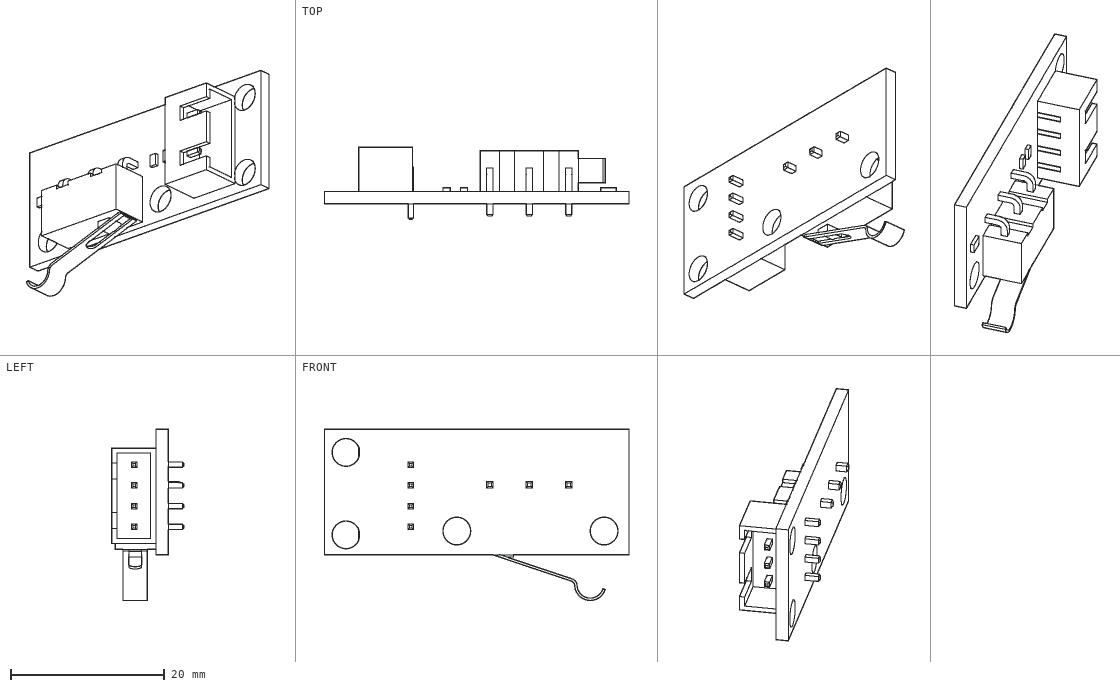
import cadquery as cq
import math


board_length = 39.7
board_height = 16.4
board_thickness = 1.65
mount_hole_diameter = 3.58
corner_hole_x = 2.8
corner_hole_z = (2.6, 13.35)
switch_hole_x = (17.25, 36.45)
switch_hole_z = 3.1

connector_x = 4.45
connector_length = 7.05
connector_height = 5.75
connector_width = 12.45
connector_center_z = 7.7
end_wall = 0.65
side_wall = 0.7
cavity_depth = 5.5
key_slot_depth = 4.5
key_slot_width = 2.03
key_slot_spacing = 6.45

pin_size = 0.72
pin_pitch = 2.7
pin_count = 4
pin_leg_x = 11.25
pin_axis_height = 2.83
pin_recess = 3.5
pin_protrusion = 2.0
pin_tip_chamfer = 0.2

switch_x = 20.3
switch_length = 12.8
switch_depth = 5.3
switch_bottom_z = 0.7
switch_height = 6.5
switch_center_x = switch_x + switch_length / 2
recess_depth = 0.5
recess_spans = ((2.5, 4.45), (8.25, 10.3))

terminal_size = 0.84
terminal_pitch = 5.14
terminal_axis_z = 9.15
terminal_axis_height = 2.63
terminal_bend_radius = 0.96
terminal_protrusion = 1.6

plunger_diameter = 1.9
plunger_right_x = 24.65
plunger_bottom_z = -0.3
plunger_width = 2.4

lever_thickness = 0.33
lever_width = 3.2
lever_center_height = 2.69
lever_start_x = 20.45
lever_start_z = 0.66
lever_angle = 18.5
bend_radius = 0.8
hook_radius = 1.88
hook_center_x = 34.65
hook_lowest_z = -5.96
hook_end_angle = -17
lever_slot_width = 1.67
lever_slot_start = 0.15
lever_slot_end = 7.4

chip_height = 0.48
chips = (
    (15.45, 0.95, 8.0, 1.6),
    (17.7, 0.95, 8.0, 1.6),
    (36.0, 2.05, 8.0, 1.25),
)


def box(x, y, z, length, depth, height):
    """Box with its lowest corner at (x, y, z)."""
    return cq.Workplane("XY").box(length, depth, height, centered=False).translate((x, y, z))


def make_board():
    """Flat board with four mounting holes."""
    board = box(0, 0, 0, board_length, board_thickness, board_height)
    holes = [(corner_hole_x, z) for z in corner_hole_z]
    holes += [(x, switch_hole_z) for x in switch_hole_x]
    drills = (
        cq.Workplane("XZ")
        .pushPoints(holes)
        .circle(mount_hole_diameter / 2)
        .extrude(-board_thickness)
    )
    return board.cut(drills)


def make_connector():
    """Shrouded housing, hollow from -X, with two key slots in its outer wall."""
    bottom_z = connector_center_z - connector_width / 2
    shell = box(connector_x, board_thickness, bottom_z,
                connector_length, connector_height, connector_width)
    cavity = box(connector_x, board_thickness + side_wall, bottom_z + end_wall,
                 cavity_depth, connector_height - 2 * side_wall, connector_width - 2 * end_wall)
    shell = shell.cut(cavity)
    for side in (-1, 1):
        slot_z = connector_center_z + side * key_slot_spacing / 2 - key_slot_width / 2
        slot = box(connector_x, board_thickness + connector_height - side_wall, slot_z,
                   key_slot_depth, side_wall, key_slot_width)
        shell = shell.cut(slot)
    return shell


def make_connector_pin(z):
    """Square right-angle pin with chamfered tips."""
    half = pin_size / 2
    axis_y = board_thickness + pin_axis_height
    tip_x = connector_x + pin_recess
    contact = box(tip_x, axis_y - half, z - half, pin_leg_x + half - tip_x, pin_size, pin_size)
    contact = contact.faces("<X").chamfer(pin_tip_chamfer)
    tail = box(pin_leg_x - half, -pin_protrusion, z - half,
               pin_size, pin_protrusion + axis_y + half, pin_size)
    tail = tail.faces("<Y").chamfer(pin_tip_chamfer)
    return contact.union(tail)


def make_switch_body():
    """Rectangular switch case with two recesses across its top."""
    body = box(switch_x, board_thickness, switch_bottom_z, switch_length, switch_depth, switch_height)
    recess_z = switch_bottom_z + switch_height - recess_depth
    for start, end in recess_spans:
        recess = box(switch_x + start, board_thickness, recess_z, end - start, switch_depth, recess_depth)
        body = body.cut(recess)
    return body


def make_terminal(x):
    """Square terminal that rises from the switch and bends through the board."""
    half = terminal_size / 2
    axis_y = board_thickness + terminal_axis_height
    root_z = switch_bottom_z + switch_height - recess_depth
    inner_radius = terminal_bend_radius - half
    outer_radius = terminal_bend_radius + half
    bend_y = axis_y - terminal_bend_radius
    bend_z = terminal_axis_z - terminal_bend_radius
    diagonal = math.sqrt(0.5)
    terminal = (
        cq.Workplane("YZ")
        .moveTo(axis_y - half, root_z)
        .lineTo(axis_y + half, root_z)
        .lineTo(axis_y + half, bend_z)
        .threePointArc(
            (bend_y + outer_radius * diagonal, bend_z + outer_radius * diagonal),
            (bend_y, terminal_axis_z + half),
        )
        .lineTo(-terminal_protrusion, terminal_axis_z + half)
        .lineTo(-terminal_protrusion, terminal_axis_z - half)
        .lineTo(bend_y, terminal_axis_z - half)
        .threePointArc(
            (bend_y + inner_radius * diagonal, bend_z + inner_radius * diagonal),
            (axis_y - half, bend_z),
        )
        .close()
        .extrude(terminal_size)
        .translate((x - half, 0, 0))
    )
    return terminal.faces("<Y").chamfer(pin_tip_chamfer)


def make_plunger():
    """Switch button with a round corner on its -X side."""
    radius = plunger_diameter / 2
    left_x = plunger_right_x - plunger_diameter
    center_y = board_thickness + lever_center_height
    return (
        cq.Workplane("XZ", origin=(0, center_y, 0))
        .moveTo(left_x, switch_bottom_z)
        .lineTo(left_x, plunger_bottom_z + radius)
        .radiusArc((left_x + radius, plunger_bottom_z), -radius)
        .lineTo(plunger_right_x, plunger_bottom_z)
        .lineTo(plunger_right_x, switch_bottom_z)
        .close()
        .extrude(plunger_width / 2, both=True)
    )


def polar(center, radius, angle):
    """Point at a radius and angle (radians) around a center in the XZ plane."""
    return (center[0] + radius * math.cos(angle), center[1] + radius * math.sin(angle))


def make_lever():
    """Slotted strip that slopes down from the switch, bends and ends in a round hook."""
    half = lever_thickness / 2
    slope = math.radians(lever_angle)
    upward = math.pi / 2 - slope
    start = (lever_start_x, lever_start_z)
    hook_center = (hook_center_x, hook_lowest_z + half + hook_radius)
    hook_end = math.radians(hook_end_angle)
    hook_low = -math.pi / 2

    to_hook_x = hook_center[0] - start[0]
    to_hook_z = hook_center[1] - start[1]
    hook_along = to_hook_x * math.cos(slope) - to_hook_z * math.sin(slope)
    hook_below = -to_hook_x * math.sin(slope) - to_hook_z * math.cos(slope)
    bend_along = hook_along - math.sqrt(
        (hook_radius + bend_radius) ** 2 - (hook_below - bend_radius) ** 2
    )
    strip_end = polar(start, bend_along, -slope)
    bend_center = polar(strip_end, -bend_radius, upward)
    bend_end = math.atan2(hook_center[1] - bend_center[1], hook_center[0] - bend_center[0])
    bend_middle = (upward + bend_end) / 2

    upper_bend = bend_radius + half
    lower_bend = bend_radius - half
    inner_hook = hook_radius - half
    outer_hook = hook_radius + half
    center_y = board_thickness + lever_center_height
    strip = (
        cq.Workplane("XZ", origin=(0, center_y, 0))
        .moveTo(*polar(start, half, upward))
        .lineTo(*polar(bend_center, upper_bend, upward))
        .threePointArc(
            polar(bend_center, upper_bend, bend_middle),
            polar(bend_center, upper_bend, bend_end),
        )
        .threePointArc(polar(hook_center, inner_hook, hook_low), polar(hook_center, inner_hook, hook_end))
        .lineTo(*polar(hook_center, outer_hook, hook_end))
        .threePointArc(
            polar(hook_center, outer_hook, hook_low),
            polar(bend_center, lower_bend, bend_end),
        )
        .threePointArc(
            polar(bend_center, lower_bend, bend_middle),
            polar(bend_center, lower_bend, upward),
        )
        .lineTo(*polar(start, -half, upward))
        .close()
        .extrude(lever_width / 2, both=True)
    )

    slot_radius = lever_slot_width / 2
    slot = (
        cq.Workplane("XY")
        .moveTo(lever_slot_start, -slot_radius)
        .lineTo(lever_slot_end - slot_radius, -slot_radius)
        .radiusArc((lever_slot_end - slot_radius, slot_radius), -slot_radius)
        .lineTo(lever_slot_start, slot_radius)
        .close()
        .extrude(lever_thickness, both=True)
        .rotate((0, 0, 0), (0, 1, 0), lever_angle)
        .translate((lever_start_x, center_y, lever_start_z))
    )
    return strip.cut(slot)


def make_chip(x, length, z, height):
    """Low rectangular component on the board."""
    return box(x, board_thickness, z, length, chip_height, height)


def make_part():
    """Board with all of its components joined into one solid."""
    part = make_board().union(make_connector()).union(make_switch_body())
    for index in range(pin_count):
        offset = (index - (pin_count - 1) / 2) * pin_pitch
        part = part.union(make_connector_pin(connector_center_z + offset))
    for position in (-1, 0, 1):
        part = part.union(make_terminal(switch_center_x + position * terminal_pitch))
    part = part.union(make_lever()).union(make_plunger())
    for chip in chips:
        part = part.union(make_chip(*chip))
    return part


result = make_part()